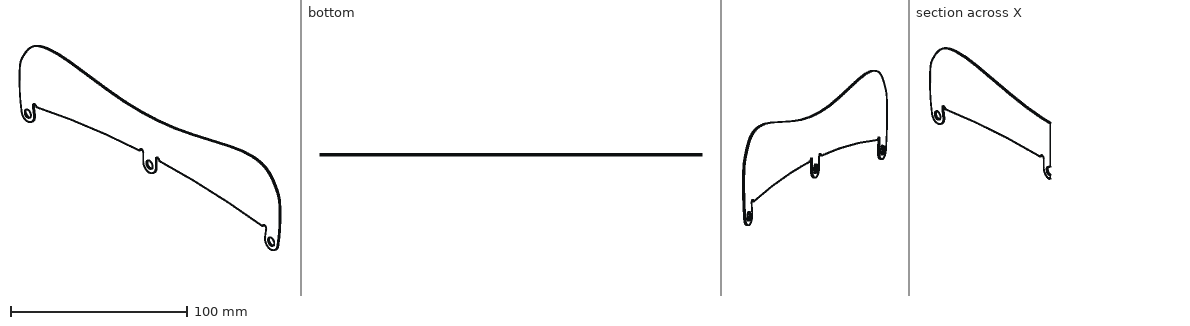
import cadquery as cq
import math

length = 216.5
height = 54.1
thickness = 1.0
half_length = length / 2

hole_diameter = 5.2
tab_radius = 5.2
end_hole_x = 101.3
end_hole_z = tab_radius
middle_hole_z = 13.6
relief_radius = 1.5

lower_edge_radius = 628.0
lower_edge_crest_z = 19.5
lower_center_z = lower_edge_crest_z - lower_edge_radius

dip_radius = 216.5
dip_bottom_z = 44.8
flank_angle = math.radians(9.4)
flank_end_x = 66.0
crest_x = 80.8
shoulder_x = 99.5
shoulder_z = 49.0
side_bend_x = 105.2
side_bend_z = 41.1
widest_z = 23.8

hole_inset = half_length - end_hole_x
hole_drop = widest_z - end_hole_z
side_radius = (hole_drop**2 + hole_inset**2 - tab_radius**2) / (2 * (hole_inset - tab_radius))
side_sweep = math.asin(hole_drop / (side_radius - tab_radius))

end_tab_angle = -math.atan2(end_hole_x, end_hole_z - lower_center_z)


def on_circle(center, radius, angle):
    """Point on a circle, with the angle measured from +X."""
    return (center[0] + radius * math.cos(angle), center[1] + radius * math.sin(angle))


def on_lower_edge(tab_angle, offset):
    """Point of the lower edge at a sideways offset from a tab's centre line."""
    angle = math.pi / 2 - tab_angle - math.asin(offset / lower_edge_radius)
    return on_circle((0, lower_center_z), lower_edge_radius, angle)


def extrude(sketch):
    """Give a sketch the plate thickness, centred on Y = 0."""
    return sketch.extrude(thickness / 2, both=True)


def make_left_half():
    """Left half of the plate, including its end tab."""
    end_hole = (-end_hole_x, end_hole_z)
    side_center = (side_radius - half_length, widest_z)
    tab_outer = on_circle(end_hole, tab_radius, math.pi + side_sweep)
    tab_inner = on_circle(end_hole, tab_radius, -end_tab_angle)
    tab_tip = on_circle(end_hole, tab_radius, -math.pi / 2 - end_tab_angle)
    side_middle = on_circle(side_center, side_radius, math.pi + side_sweep / 2)

    dip_center = (0, dip_bottom_z + dip_radius)
    dip_end = on_circle(dip_center, dip_radius, -math.pi / 2 - flank_angle)
    dip_middle = on_circle(dip_center, dip_radius, -math.pi / 2 - flank_angle / 2)
    flank_end_z = dip_end[1] + (flank_end_x + dip_end[0]) * math.tan(flank_angle)
    shoulder = [
        (-flank_end_x, flank_end_z),
        (-crest_x, height),
        (-shoulder_x, shoulder_z),
        (-side_bend_x, side_bend_z),
        (-half_length, widest_z),
    ]
    flank_direction = (-math.cos(flank_angle), math.sin(flank_angle))

    edge_start = on_lower_edge(end_tab_angle, tab_radius)
    edge_middle = on_lower_edge(end_tab_angle / 2, 0)

    return extrude(
        cq.Workplane("XZ")
        .moveTo(0, dip_bottom_z)
        .threePointArc(dip_middle, dip_end)
        .lineTo(*shoulder[0])
        .spline(shoulder[1:], tangents=[flank_direction, (0, -1)], includeCurrent=True)
        .threePointArc(side_middle, tab_outer)
        .threePointArc(tab_tip, tab_inner)
        .lineTo(*edge_start)
        .threePointArc(edge_middle, (0, lower_edge_crest_z))
        .close()
    )


def make_middle_tab():
    """Round-ended tab hanging from the middle of the lower edge."""
    root_z = lower_edge_crest_z + relief_radius
    return extrude(
        cq.Workplane("XZ")
        .moveTo(-tab_radius, root_z)
        .lineTo(-tab_radius, middle_hole_z)
        .threePointArc((0, middle_hole_z - tab_radius), (tab_radius, middle_hole_z))
        .lineTo(tab_radius, root_z)
        .close()
    )


def make_round_cuts(points, radius):
    """Round cutters through the plate at the given places."""
    return extrude(cq.Workplane("XZ").pushPoints(points).circle(radius))


left_half = make_left_half()
plate = left_half.union(left_half.mirror("YZ")).union(make_middle_tab())

hole_points = [(-end_hole_x, end_hole_z), (0, middle_hole_z), (end_hole_x, end_hole_z)]

relief_offset = tab_radius + relief_radius
relief_points = []
for side in (-1, 1):
    relief_points.append(on_lower_edge(0, side * relief_offset))
    relief_points.append(on_lower_edge(side * end_tab_angle, side * relief_offset))

plate = plate.cut(make_round_cuts(hole_points, hole_diameter / 2))
result = plate.cut(make_round_cuts(relief_points, relief_radius))